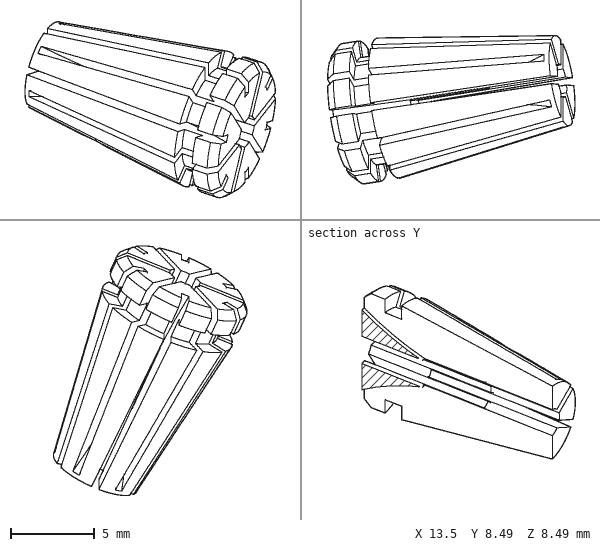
import cadquery as cq
import math

length = 13.5
max_radius = 4.25
taper_length = 10.81
taper_angle = 8.0
nose_radius = max_radius - taper_length * math.tan(math.radians(taper_angle))

groove_width = 1.19
groove_radius = 3.25
chamfer_length = 0.5
chamfer_depth = 0.47

bore_radius = 1.0

slots_per_end = 6
slot_width = 0.47
saw_clearance = 0.4
saw_radius = 16.06
nose_slot_bore_x = 9.17
nose_slot_runout_radius = 2.98
head_slot_bore_x = 4.91
head_slot_runout_x = 0.3
head_slot_runout_radius = 2.77


def collet_body():
    groove_end = taper_length + groove_width
    profile = [
        (0, bore_radius),
        (0, nose_radius),
        (taper_length, max_radius),
        (taper_length, groove_radius),
        (groove_end, groove_radius),
        (groove_end, max_radius),
        (length - chamfer_length, max_radius),
        (length, max_radius - chamfer_depth),
        (length, bore_radius),
    ]
    return cq.Workplane("XY").polyline(profile).close().revolve(360, (0, 0, 0), (1, 0, 0))


def arc_midpoint(start, end, radius):
    """Middle of the shallow arc that sags toward the axis between two (x, r) points."""
    dx = end[0] - start[0]
    dr = end[1] - start[1]
    chord = math.hypot(dx, dr)
    sag = radius - math.sqrt(radius**2 - (chord / 2) ** 2)
    inward_x = abs(dr) / chord * math.copysign(1, dx * dr)
    inward_r = -abs(dx) / chord
    return (
        (start[0] + end[0]) / 2 + sag * inward_x,
        (start[1] + end[1]) / 2 + sag * inward_r,
    )


def saw_slot(open_end, bore_point, runout_point, angle):
    """Slot from the open end whose arched floor rises from the bore to the runout point."""
    runout_x = runout_point[0]
    blade = (
        cq.Workplane("XY")
        .moveTo(open_end, 0)
        .lineTo(bore_point[0], 0)
        .lineTo(*bore_point)
        .threePointArc(arc_midpoint(bore_point, runout_point, saw_radius), runout_point)
        .lineTo(runout_x, max_radius + saw_clearance)
        .lineTo(open_end, max_radius + saw_clearance)
        .close()
        .extrude(slot_width / 2, both=True)
    )
    return blade.rotate((0, 0, 0), (1, 0, 0), angle)


head_slot_bore_point = (head_slot_bore_x, bore_radius)
head_slot_runout_point = (head_slot_runout_x, head_slot_runout_radius)
nose_slot_bore_point = (nose_slot_bore_x, bore_radius)
nose_slot_runout_point = (length, nose_slot_runout_radius)
slot_pitch = 360 / slots_per_end

result = collet_body()
for index in range(slots_per_end):
    head_angle = index * slot_pitch
    nose_angle = head_angle + slot_pitch / 2
    result = result.cut(saw_slot(length, head_slot_bore_point, head_slot_runout_point, head_angle))
    result = result.cut(saw_slot(0, nose_slot_bore_point, nose_slot_runout_point, nose_angle))